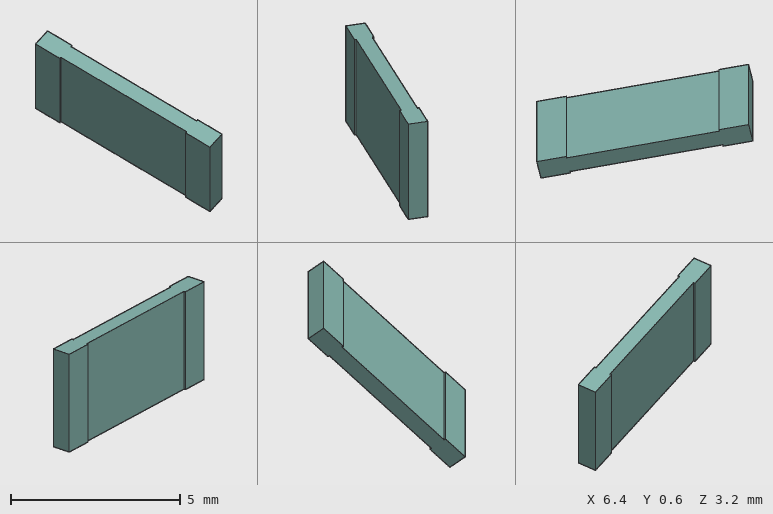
import cadquery as cq

length = 6.4
thickness = 0.6
height = 3.2

terminal_length = 0.895
terminal_step = 0.05

body_length = length - 2 * terminal_length
body_thickness = thickness - 2 * terminal_step
terminal_center = (length - terminal_length) / 2

result = cq.Workplane("XY").box(body_length, body_thickness, height)

for side in (-1, 1):
    terminal = cq.Workplane("XY").box(terminal_length, thickness, height)
    result = result.union(terminal.translate((side * terminal_center, 0, 0)))